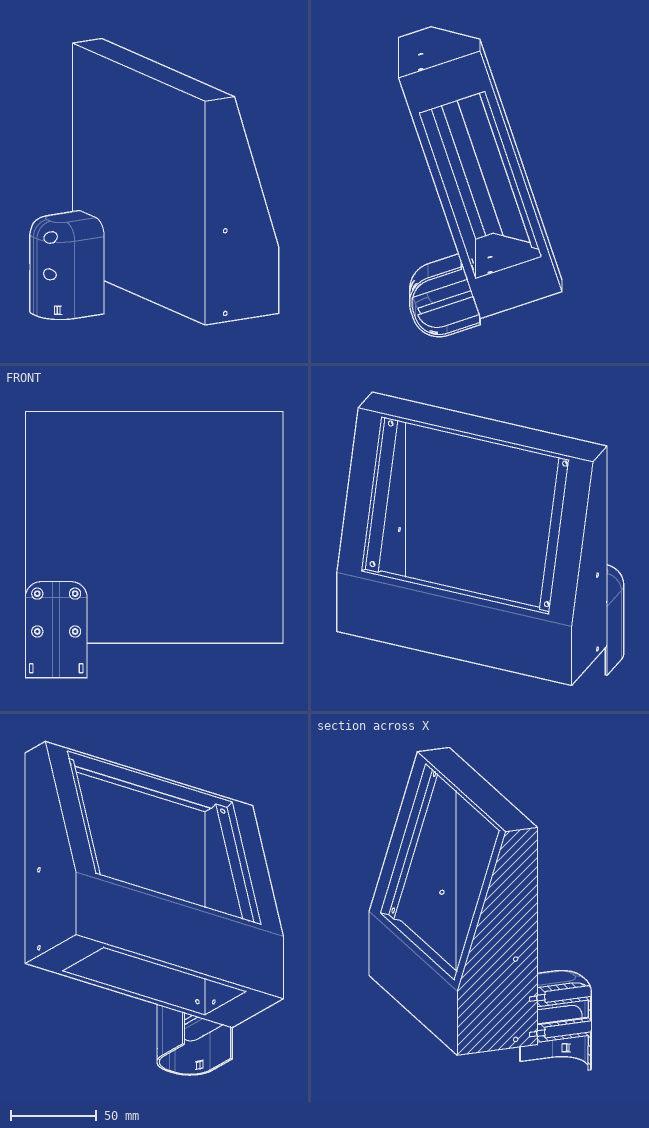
import cadquery as cq
import math


STAND_WIDTH = 150.0
STAND_HEIGHT = 135.0
STAND_DEPTH = 50.0
TOP_DEPTH = 20.0
BACK_HEIGHT = 40.0
STAND_WALL = 5.0

RECESS_WIDTH = 119.4
RECESS_TOP_GAP = 2.3
RECESS_LENGTH = 93.2
RECESS_DEPTH = 5.5
WINDOW_WIDTH = 102.9
FLOOR_THICKNESS = 4.5
LEDGE_HOLE_DIAMETER = 3.0
LEDGE_HOLE_INSET = 4.0

CROSS_HOLE_DIAMETER = 2.5
CROSS_HOLE_Y = 13.6
CROSS_HOLE_HEIGHTS = (5.1, 55.0)

COVER_WIDTH = 36.0
COVER_DEPTH = 36.0
COVER_HEIGHT = 56.0
COVER_DROP = 20.0
COVER_CORNER_RADIUS = 16.0
COVER_TOP_RADIUS = 9.3
COVER_WALL = 1.4

SCREW_INSET = 7.0
SCREW_SPACING = COVER_WIDTH - 2 * SCREW_INSET
POST_RADIUS = SCREW_INSET - COVER_WALL
SCREW_HEAD_DIAMETER = 6.5
SCREW_SHANK_DIAMETER = 3.3
PILOT_DIAMETER = 2.5
SCREW_SEAT_THICKNESS = 5.0

SLOT_WIDTH = 2.0
SLOT_HEIGHT = 5.0
SLOT_INSET = 2.5
SLOT_BASE_HEIGHT = 3.1

SLOPE_RUN = STAND_DEPTH - TOP_DEPTH
SLOPE_RISE = STAND_HEIGHT - BACK_HEIGHT
SLOPE_LENGTH = math.hypot(SLOPE_RUN, SLOPE_RISE)
SLOPED_WALL = RECESS_DEPTH + FLOOR_THICKNESS
COVER_BOTTOM = -COVER_DROP
COVER_TOP = COVER_BOTTOM + COVER_HEIGHT
SCREW_CENTERS = [
    (SCREW_INSET + column * SCREW_SPACING, COVER_TOP - SCREW_INSET - row * SCREW_SPACING)
    for column in range(2)
    for row in range(2)
]


def slope_plane():
    """Plane on the sloped back: origin at mid-slope, local Y up the slope, normal outward."""
    middle = (STAND_WIDTH / 2, (STAND_DEPTH + TOP_DEPTH) / 2, (STAND_HEIGHT + BACK_HEIGHT) / 2)
    return cq.Plane(origin=middle, xDir=(-1, 0, 0), normal=(0, SLOPE_RISE, SLOPE_RUN))


def y_cylinders(centers, diameter, y_start, y_end):
    """Cylinders along Y at the given (x, z) centers, from y_start toward -Y as far as y_end."""
    return (
        cq.Workplane("XZ", origin=(0, y_start, 0))
        .pushPoints(centers)
        .circle(diameter / 2)
        .extrude(y_start - y_end)
    )


def stand_blank():
    """Solid wedge before it is hollowed."""
    outline = [
        (0, 0),
        (STAND_DEPTH, 0),
        (STAND_DEPTH, BACK_HEIGHT),
        (TOP_DEPTH, STAND_HEIGHT),
        (0, STAND_HEIGHT),
    ]
    return cq.Workplane("YZ").polyline(outline).close().extrude(STAND_WIDTH)


def stand_cavity():
    """Hollow open at the bottom, its rear following the back wall and the slope."""
    wall_y_shift = SLOPED_WALL * SLOPE_LENGTH / SLOPE_RISE
    y_per_z = SLOPE_RUN / SLOPE_RISE
    back_y = STAND_DEPTH - STAND_WALL
    top_z = STAND_HEIGHT - STAND_WALL
    bend_z = BACK_HEIGHT - (wall_y_shift - STAND_WALL) / y_per_z
    top_y = TOP_DEPTH - wall_y_shift + STAND_WALL * y_per_z
    outline = [(STAND_WALL, 0), (back_y, 0), (back_y, bend_z), (top_y, top_z), (STAND_WALL, top_z)]
    start_x = (STAND_WIDTH - WINDOW_WIDTH) / 2
    return cq.Workplane("YZ", origin=(start_x, 0, 0)).polyline(outline).close().extrude(WINDOW_WIDTH)


def recess_cuts():
    """Recess, window and four ledge holes, all square to the slope."""
    center_up_slope = (SLOPE_LENGTH - RECESS_LENGTH) / 2 - RECESS_TOP_GAP
    face = cq.Workplane(slope_plane()).center(0, center_up_slope)
    recess = face.rect(RECESS_WIDTH, RECESS_LENGTH).extrude(-RECESS_DEPTH)
    window = face.rect(WINDOW_WIDTH, RECESS_LENGTH).extrude(-SLOPED_WALL)
    ledge_holes = (
        face.rect(
            RECESS_WIDTH - 2 * LEDGE_HOLE_INSET,
            RECESS_LENGTH - 2 * LEDGE_HOLE_INSET,
            forConstruction=True,
        )
        .vertices()
        .circle(LEDGE_HOLE_DIAMETER / 2)
        .extrude(-SLOPED_WALL)
    )
    return recess.union(window).union(ledge_holes)


def cross_holes():
    centers = [(CROSS_HOLE_Y, height) for height in CROSS_HOLE_HEIGHTS]
    return cq.Workplane("YZ").pushPoints(centers).circle(CROSS_HOLE_DIAMETER / 2).extrude(STAND_WIDTH)


def make_stand():
    pilot_holes = y_cylinders(SCREW_CENTERS, PILOT_DIAMETER, STAND_WALL, 0)
    return stand_blank().cut(stand_cavity()).cut(recess_cuts()).cut(cross_holes()).cut(pilot_holes)


def cover_form(inset):
    """Round-nosed block with a rounded top, moved in by inset from the sides, nose and top."""
    width = COVER_WIDTH - 2 * inset
    depth = COVER_DEPTH - inset
    return (
        cq.Workplane("XY", origin=(inset, -depth, COVER_BOTTOM))
        .rect(width, depth, centered=False)
        .extrude(COVER_HEIGHT - inset)
        .edges("|Z and <Y")
        .fillet(COVER_CORNER_RADIUS - inset)
        .faces(">Z")
        .edges("not >Y")
        .fillet(COVER_TOP_RADIUS - inset)
    )


def strap_slots():
    first_x = SLOT_INSET + SLOT_WIDTH / 2
    middle_z = COVER_BOTTOM + SLOT_BASE_HEIGHT + SLOT_HEIGHT / 2
    centers = [(first_x, middle_z), (COVER_WIDTH - first_x, middle_z)]
    return cq.Workplane("XZ").pushPoints(centers).rect(SLOT_WIDTH, SLOT_HEIGHT).extrude(COVER_DEPTH)


def make_cover():
    """Thin shell open at the bottom and toward the stand, with four screw posts."""
    outside = cover_form(0)
    posts = y_cylinders(SCREW_CENTERS, 2 * POST_RADIUS, 0, -COVER_DEPTH).intersect(outside)
    shanks = y_cylinders(SCREW_CENTERS, SCREW_SHANK_DIAMETER, 0, -COVER_DEPTH)
    heads = y_cylinders(SCREW_CENTERS, SCREW_HEAD_DIAMETER, -SCREW_SEAT_THICKNESS, -COVER_DEPTH)
    shell = outside.cut(cover_form(COVER_WALL))
    return shell.union(posts).cut(shanks).cut(heads).cut(strap_slots())


stand = make_stand()
cover = make_cover()
result = cq.Compound.makeCompound([stand.solids().val(), cover.solids().val()])